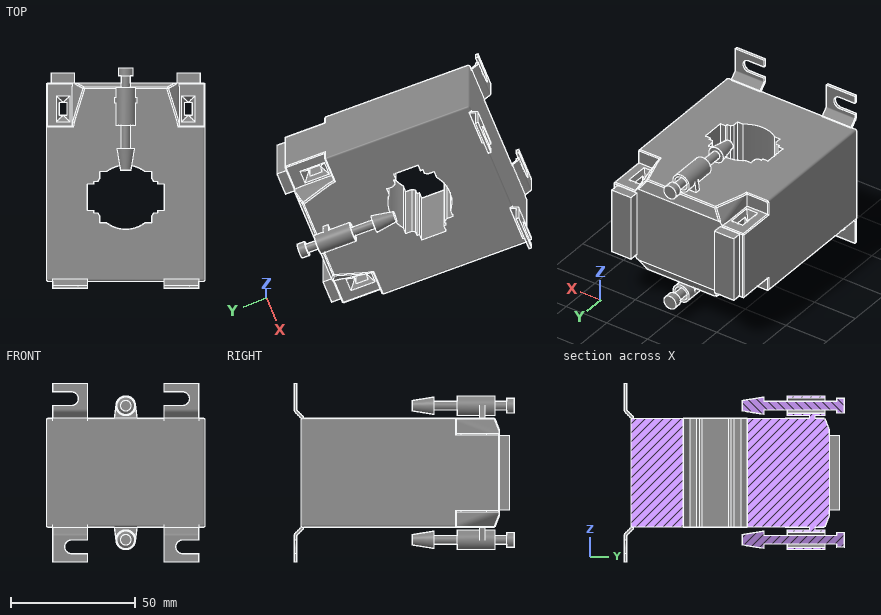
import cadquery as cq
import math


body_width = 64.0
body_height = 44.0
body_front = -34.0
body_back = 45.95
half_width = body_width / 2
half_height = body_height / 2
edge_round = 1.0
edge_chamfer = 0.4

back_slope_run = 1.9
back_slope_drop = 4.7

recess_front = 28.7
recess_depth = 6.3
recess_wall = 21.65
recess_floor = half_height - recess_depth
flank_inset = 5.4
flank_round = 3.55

funnel_x = 25.2
funnel_y = 35.6
funnel_width = 5.4
funnel_length = 10.5
funnel_depth = 4.7
slot_width = 3.0
slot_length = funnel_length - funnel_width

tab_width = 9.5
tab_height = 30.2
tab_reach = 4.1
tab_x = 25.3

bore_radius = 12.9
bore_rectangles = [(30.8, 10.6), (25.7, 12.6), (20.85, 20.5)]

foot_width = 14.1
foot_x = 22.35
feet_span = 71.9
foot_top = feet_span / 2
foot_face = -36.7
sheet = 1.15
bend_inner = 0.6
bend_outer = bend_inner + sheet
foot_slot_width = 5.4
foot_slot_height = 29.8
foot_slot_shift = 0.5

screw_z = 27.0
holder_back = 44.2
holder_front = 28.9
holder_diameter = 8.0
holder_bore = 6.0
stem_y = 39.0
stem_thickness = 2.3
stem_root_width = 9.2
head_end = 52.0
head_length = 3.2
head_diameter = 6.0
shank_diameter = 3.6
tip_length = 8.9
tip_end = 10.8
tip_root_diameter = 7.1
tip_end_diameter = 4.3

overshoot = 0.9
tolerance = 0.01
flank_extension = 3


def box(x_range, y_range, z_range):
    """Box between the given limits."""
    sizes = [high - low for low, high in (x_range, y_range, z_range)]
    corner = (x_range[0], y_range[0], z_range[0])
    return cq.Workplane("XY").box(*sizes, centered=False).translate(corner)


def cylinder(diameter, y_start, y_end):
    """Cylinder along Y on the axis of the upper screw."""
    plane = cq.Plane((0, y_start, screw_z), xDir=(1, 0, 0), normal=(0, 1, 0))
    return cq.Workplane(plane).circle(diameter / 2).extrude(y_end - y_start)


def with_mirror(shape, plane):
    """The shape together with its mirror image."""
    return shape.union(shape.mirror(plane))


def at_four_corners(shape):
    """The shape repeated left and right, top and bottom."""
    return with_mirror(with_mirror(shape, "YZ"), "XY")


def housing_block():
    """Block with sloping strips at the back and rounded front and side edges."""
    slope_start = body_back - back_slope_run
    slope_end_z = half_height - back_slope_drop
    block = (
        cq.Workplane("YZ")
        .moveTo(body_front, -half_height)
        .lineTo(slope_start, -half_height)
        .lineTo(body_back, -slope_end_z)
        .lineTo(body_back, slope_end_z)
        .lineTo(slope_start, half_height)
        .lineTo(body_front, half_height)
        .close()
        .extrude(half_width, both=True)
    )
    front_edges = block.faces("<Y").edges()
    side_edges = block.faces("<Z or >Z").edges("|Y")
    return front_edges.add(side_edges).fillet(edge_round)


def flank():
    """Material beside a recess: an upright wall that turns into a slope over a rounded ridge."""
    run = body_back - recess_front
    ridge_start = cq.Vector(recess_wall, recess_front, half_height)
    ridge_plane = cq.Plane(ridge_start, xDir=(1, 0, 0), normal=(0, run, -recess_depth))
    slope_step = ridge_plane.toLocalCoords(ridge_start + cq.Vector(-flank_inset, run, 0))
    slope_far = slope_step * flank_extension
    reach = body_back
    block = (
        cq.Workplane(ridge_plane)
        .moveTo(0, reach)
        .lineTo(0, 0)
        .lineTo(slope_far.x, slope_far.y)
        .lineTo(slope_far.x, reach)
        .close()
        .extrude(reach, both=True)
    )
    ridge = cq.selectors.NearestToPointSelector(ridge_start.toTuple())
    return block.edges(ridge).fillet(flank_round)


def recess():
    """Space of the terminal recess in the +X, top corner."""
    space = box(
        (recess_wall - 2 * flank_inset, half_width + overshoot),
        (recess_front, body_back + overshoot),
        (recess_floor, half_height + overshoot),
    )
    return space.cut(flank())


def is_recess_rim(edge):
    """Whether an edge is an outward edge round a recess or along a sloping back strip."""
    centre = edge.Center()
    extent = edge.BoundingBox()
    x, y, z = abs(centre.x), centre.y, abs(centre.z)

    def near(value, target):
        return abs(value - target) < tolerance

    if y < recess_front - tolerance:
        return False
    on_top_or_side = near(z, half_height) or near(x, half_width)
    floor_back = near(y, body_back) and near(z, recess_floor)
    strip_end = near(extent.ymax, body_back) and near(extent.ymin, body_back - back_slope_run)
    rounded_corner = near(y, recess_front) and x > half_width - edge_round and z > half_height - edge_round
    return on_top_or_side or floor_back or strip_end or rounded_corner


def chamfer_recess_rims(body):
    """Body with the edges round its recesses chamfered."""
    rims = [edge for edge in body.edges().vals() if is_recess_rim(edge)]
    return body.newObject(rims).chamfer(edge_chamfer)


def funnel():
    """Hopper in the +X, top recess floor: two long sides meet in a ridge, and the ends slope equally."""
    ridge_z = recess_floor - funnel_depth
    half_length = funnel_length / 2
    half_ridge = slot_length / 2
    across = (
        cq.Workplane("XZ")
        .moveTo(funnel_x - funnel_width / 2, recess_floor)
        .lineTo(funnel_x + funnel_width / 2, recess_floor)
        .lineTo(funnel_x, ridge_z)
        .close()
        .extrude(-body_back)
    )
    along = (
        cq.Workplane("YZ")
        .moveTo(funnel_y - half_length, recess_floor)
        .lineTo(funnel_y + half_length, recess_floor)
        .lineTo(funnel_y + half_ridge, ridge_z)
        .lineTo(funnel_y - half_ridge, ridge_z)
        .close()
        .extrude(half_width)
    )
    return across.intersect(along)


def terminal_openings():
    """Funnels in the four recess floors and the slots that join them."""
    slot = cq.Workplane("XY").box(slot_width, slot_length, body_height)
    slots = with_mirror(slot.translate((funnel_x, funnel_y, 0)), "YZ")
    return at_four_corners(funnel()).union(slots)


def terminal_tabs():
    """Rectangular tabs on the back face, behind the recesses."""
    tab = box(
        (tab_x - tab_width / 2, tab_x + tab_width / 2),
        (body_back, body_back + tab_reach),
        (-tab_height / 2, tab_height / 2),
    )
    return with_mirror(tab, "YZ")


def conductor_bore():
    """Round bore with stepped corners for flat bars."""
    bore = cq.Workplane("XY").circle(bore_radius).extrude(half_height, both=True)
    for length_x, length_y in bore_rectangles:
        bore = bore.union(cq.Workplane("XY").box(length_x, length_y, body_height))
    return bore


def foot(centre_x, opening):
    """Upper foot of sheet folded at 45 degrees; its slot opens to -X (opening = -1) or +X (opening = 1)."""
    step = body_front - foot_face
    fold_offset = sheet * (math.sqrt(2) - 1)
    fold_z = half_height + step
    sheet_foot = (
        cq.Workplane("YZ")
        .moveTo(body_front, half_height - edge_round)
        .lineTo(body_front, half_height)
        .lineTo(foot_face, fold_z)
        .lineTo(foot_face, foot_top)
        .lineTo(foot_face + sheet, foot_top)
        .lineTo(foot_face + sheet, fold_z + fold_offset)
        .lineTo(body_front + sheet, half_height + fold_offset)
        .lineTo(body_front + sheet, half_height - edge_round)
        .close()
        .extrude(foot_width / 2, both=True)
    )
    outer_fold = cq.selectors.NearestToPointSelector((0, foot_face, fold_z))
    inner_fold = cq.selectors.NearestToPointSelector((0, foot_face + sheet, fold_z + fold_offset))
    sheet_foot = sheet_foot.edges("|X").edges(outer_fold).fillet(bend_outer)
    sheet_foot = sheet_foot.edges("|X").edges(inner_fold).fillet(bend_inner)
    sheet_foot = sheet_foot.translate((centre_x, 0, 0))

    slot_end_x = centre_x + foot_slot_shift
    y_range = (foot_face - overshoot, foot_face + sheet + overshoot)
    half_slot = foot_slot_width / 2
    slot_mouth_x = slot_end_x + opening * foot_width
    slot = box(
        (min(slot_end_x, slot_mouth_x), max(slot_end_x, slot_mouth_x)),
        y_range,
        (foot_slot_height - half_slot, foot_slot_height + half_slot),
    )
    round_end = (
        cq.Workplane("XZ", origin=(slot_end_x, y_range[1], foot_slot_height))
        .circle(half_slot)
        .extrude(y_range[1] - y_range[0])
    )
    return sheet_foot.cut(slot).cut(round_end)


def screw_holder():
    """Upper tube for a screw on a tapering stem."""
    stem = (
        cq.Workplane("XZ", origin=(0, stem_y + stem_thickness / 2, 0))
        .moveTo(-stem_root_width / 2, half_height)
        .lineTo(stem_root_width / 2, half_height)
        .lineTo(holder_diameter / 2, screw_z)
        .lineTo(-holder_diameter / 2, screw_z)
        .close()
        .extrude(stem_thickness)
    )
    tube = cylinder(holder_diameter, holder_front, holder_back)
    return tube.union(stem).cut(cylinder(holder_bore, holder_front, holder_back))


def housing():
    """Transformer housing with its bore, recesses, tabs, feet and screw holders."""
    body = housing_block().cut(at_four_corners(recess()))
    body = chamfer_recess_rims(body)
    body = body.cut(terminal_openings()).union(terminal_tabs()).cut(conductor_bore())
    for side in (-1, 1):
        upper_foot = foot(side * foot_x, opening=-1)
        lower_foot = foot(side * foot_x, opening=1).mirror("XY")
        body = body.union(upper_foot).union(lower_foot)
    return body.union(with_mirror(screw_holder(), "XY"))


def screw(z):
    """Screw along Y at height z: head at the back, shank, and a tapering tip at the front."""
    tip_start = tip_end + tip_length
    head_start = head_end - head_length
    return (
        cq.Workplane("YZ")
        .moveTo(tip_end, 0)
        .lineTo(tip_end, tip_end_diameter / 2)
        .lineTo(tip_start, tip_root_diameter / 2)
        .lineTo(tip_start, shank_diameter / 2)
        .lineTo(head_start, shank_diameter / 2)
        .lineTo(head_start, head_diameter / 2)
        .lineTo(head_end, head_diameter / 2)
        .lineTo(head_end, 0)
        .close()
        .revolve(360, (0, 0, 0), (1, 0, 0))
        .translate((0, 0, z))
    )


transformer_housing = housing()
screws = [screw(z).val() for z in (screw_z, -screw_z)]

result = cq.Compound.makeCompound([transformer_housing.val(), *screws])